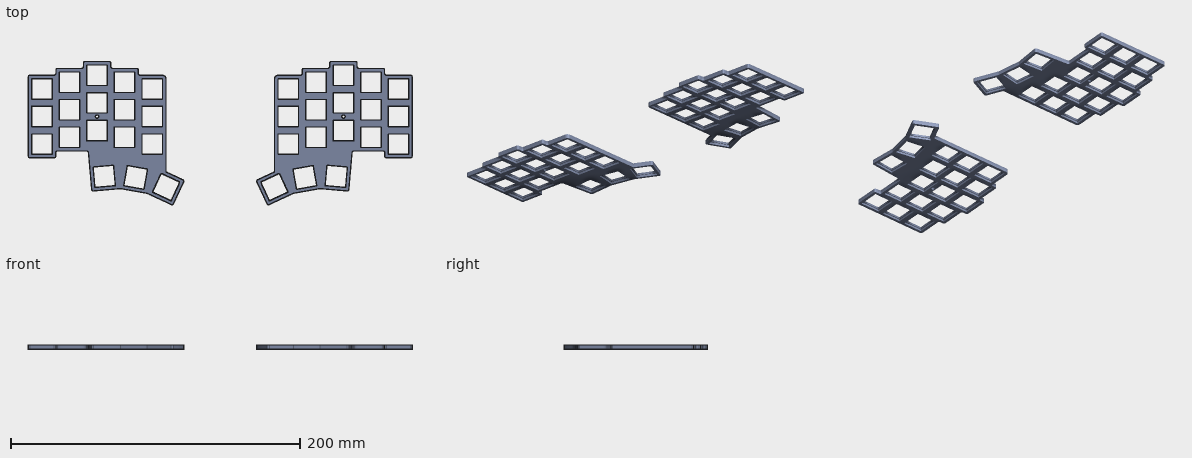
import cadquery as cq
import math

total_width = 265.71
total_depth = 99.21
thickness = 3.0

switch_hole = 14.0
switch_recess = 15.0
lip_thickness = 1.5

key_pitch = 19.05
column_stagger = 4.75
column_drops = [2, 1, 0, 1, 2]
middle_column = 2
row_count = 3
screw_hole_diameter = 2.2

edge_margin = (key_pitch - switch_hole) / 2
top_margin = 2.63

outer_side = -total_width / 2
top_side = total_depth / 2
middle_x = outer_side + (middle_column + 0.5) * key_pitch
inner_widening = 0.12
inner_side = middle_x + (middle_column + 0.5) * key_pitch + inner_widening

corner_radius = 1.2
inner_top_radius = 2.5

thumb_reach = switch_hole / 2 + edge_margin
last_tilt = -25.0
last_corner_drop = (
    math.sqrt(2) * (thumb_reach - corner_radius) * math.sin(math.radians(45 - last_tilt))
    + corner_radius
)
thumb_x = [4.95, 26.7, 47.8]
thumb_y = [-29.9, -30.66, last_corner_drop - total_depth / 2]
thumb_tilt = [5.0, -10.0, last_tilt]


def column_x(column):
    return middle_x + (column - middle_column) * key_pitch


def column_top(column):
    return top_side - column_drops[column] * column_stagger


def key_y(column, row):
    """Height of a key's centre along Y; rows count down from the top."""
    return column_top(column) - top_margin - switch_hole / 2 - row * key_pitch


def column_bottom(column):
    return key_y(column, row_count - 1) - switch_hole / 2 - edge_margin


def thumb_point(number, along, across):
    """Point given in a thumb key's own tilted axes."""
    angle = math.radians(thumb_tilt[number])
    x = middle_x + thumb_x[number] + along * math.cos(angle) - across * math.sin(angle)
    y = thumb_y[number] + along * math.sin(angle) + across * math.cos(angle)
    return (x, y)


def crossing(first_point, first_angle, second_point, second_angle):
    """Point where two lines cross, each given by a point and an angle in degrees."""
    first_rise = math.radians(first_angle)
    second_rise = math.radians(second_angle)
    across_x = second_point[0] - first_point[0]
    across_y = second_point[1] - first_point[1]
    distance = across_x * math.sin(second_rise) - across_y * math.cos(second_rise)
    distance /= math.sin(second_rise - first_rise)
    return (
        first_point[0] + distance * math.cos(first_rise),
        first_point[1] + distance * math.sin(first_rise),
    )


def make_outline():
    """Corners of the left plate, clockwise from its lower outer corner, each with its radius."""
    edge = [column_x(column) - key_pitch / 2 for column in range(len(column_drops))]
    first_bottom, second_bottom, third_bottom = (
        thumb_point(number, 0, -thumb_reach) for number in range(len(thumb_tilt))
    )
    first_tilt, second_tilt, third_tilt = thumb_tilt
    first_corner = thumb_point(0, -thumb_reach, -thumb_reach)
    notch_y = column_bottom(1)
    return [
        ((edge[0], column_bottom(0)), corner_radius),
        ((edge[0], column_top(0)), corner_radius),
        ((edge[1], column_top(0)), corner_radius),
        ((edge[1], column_top(1)), corner_radius),
        ((edge[2], column_top(1)), corner_radius),
        ((edge[2], column_top(2)), corner_radius),
        ((edge[3], column_top(2)), corner_radius),
        ((edge[3], column_top(3)), corner_radius),
        ((edge[4], column_top(3)), corner_radius),
        ((edge[4], column_top(4)), corner_radius),
        ((inner_side, column_top(4)), inner_top_radius),
        (crossing((inner_side, 0), 90, thumb_point(2, 0, thumb_reach), third_tilt), 0),
        (thumb_point(2, thumb_reach, thumb_reach), corner_radius),
        (thumb_point(2, thumb_reach, -thumb_reach), corner_radius),
        (crossing(second_bottom, second_tilt, third_bottom, third_tilt), 0),
        (crossing(first_bottom, first_tilt, second_bottom, second_tilt), 0),
        (first_corner, corner_radius),
        (crossing((edge[1], notch_y), 0, first_corner, 90 + first_tilt), corner_radius),
        ((edge[1], notch_y), corner_radius),
        ((edge[1], column_bottom(0)), corner_radius),
    ]


def make_blank():
    outline = make_outline()
    corners = [corner for corner, radius in outline]
    blank = cq.Workplane("XY").polyline(corners).close().extrude(thickness / 2, both=True)
    for corner, radius in outline:
        if radius > 0:
            upright = cq.selectors.NearestToPointSelector((*corner, 0))
            blank = blank.edges("|Z").edges(upright).fillet(radius)
    return blank


def make_switch_cutter():
    """Square switch hole with a wider square recess below its clip lip."""
    hole = cq.Workplane("XY").rect(switch_hole, switch_hole).extrude(thickness, both=True)
    recess = cq.Workplane("XY").workplane(offset=thickness / 2 - lip_thickness)
    recess = recess.rect(switch_recess, switch_recess).extrude(-thickness)
    return hole.union(recess)


def make_screw_cutter():
    """Screw hole between the two lower keys of the middle column."""
    screw_y = key_y(middle_column, row_count - 1) + key_pitch / 2
    cutter = cq.Workplane("XY").center(middle_x, screw_y).circle(screw_hole_diameter / 2)
    return cutter.extrude(thickness, both=True)


def make_left_plate():
    plate = make_blank().cut(make_screw_cutter())
    cutter = make_switch_cutter()
    for column in range(len(column_drops)):
        for row in range(row_count):
            plate = plate.cut(cutter.translate((column_x(column), key_y(column, row), 0)))
    for number, tilt in enumerate(thumb_tilt):
        tilted_cutter = cutter.rotate((0, 0, 0), (0, 0, 1), tilt)
        plate = plate.cut(tilted_cutter.translate((*thumb_point(number, 0, 0), 0)))
    return plate


left_plate = make_left_plate()
right_plate = left_plate.mirror("YZ")

result = cq.Compound.makeCompound([left_plate.val(), right_plate.val()])